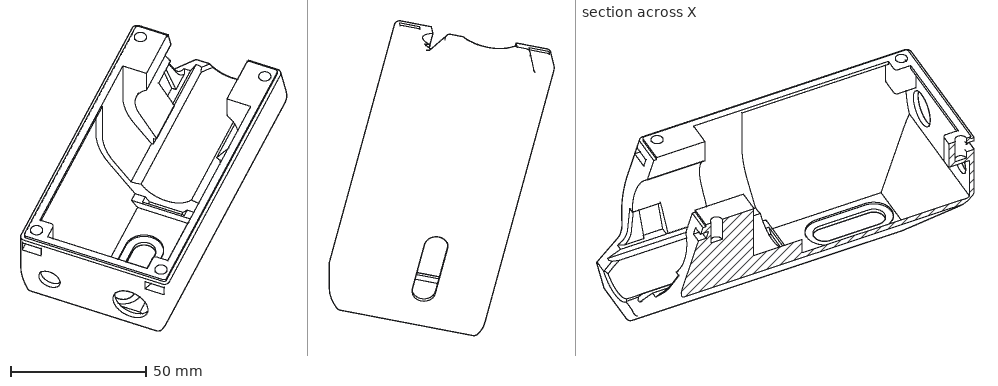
import cadquery as cq
import math

width = 59.4
length = 136.02
height = 51.1
lip_height = 1.0
lip_inset = 1.3
shell_top = height - lip_height
half_width = width / 2

keel_half_width = 10.0
bilge_radius = 25.0
bilge_height = 33.0
edge_radius = 2.0

stern_slope = 21.8
nose_height = 9.9
nose_corner_y = 122.8
nose_corner_z = 15.8
nose_corner_radius = 6.0
end_top_y = 112.0
lip_end_y = 110.8
lip_corner_radius = 1.0

tolerance = 0.01

thin_wall = 1.5
rear_wall = 2.0
thick_wall = 4.1
rim_thickness = 1.5
floor_z = 2.4
floor_start_y = 21.2
thick_start_y = 71.0
block_start_y = 90.9

slot_half_width = 16.1
passage_center_x = 9.7
passage_center_z = 32.5
passage_radius = 11.0
passage_foot_x = 12.0
passage_foot_z = 15.3

pocket_start_y = 108.1
pocket_step_y = 116.6
pocket_floor_z = 13.9
pocket_floor_x = 14.9
pocket_roof_x = 19.5
pocket_roof_z = 25.5
pocket_deepening = 1.7

bore_radius = 12.5
bore_z = 19.4
mouth_chamfer = 1.0
ridge_z = 12.0
ridge_half_width = math.sqrt(bore_radius ** 2 - (bore_z - ridge_z) ** 2)
shoulder_half_width = 12.3
shoulder_z = 11.5
groove_half_width = 13.4
groove_lip_z = 14.3

stop_start_y = 67.5
notch_start_y = 68.3
notch_half_width = 8.4
notch_depth = 2.1
stop_top_z = 5.4
stop_half_base = 15.0

screw_diameter = 4.5
screw_depth = 10.0
screw_x = 24.9
screw_ys = (5.5, 106.3)
pad_half_gap = 19.9
pad_end_y = 10.5
pad_height = 12.0
pad_corner_radius = 1.2

cable_slot_y = 39.3
cable_slot_width = 8.7
cable_slot_length = 29.0
cable_recess_margin = 2.9
cable_recess_depth = 0.8

large_port_z = 32.6
large_port_x = 14.95
large_port_diameter = 14.0
small_port_x = -17.5
small_port_z = 32.2
small_port_diameter = 8.5

latch_inner_x = 20.8
latch_outer_x = 28.4
latch_bottom_z = 44.2
latch_top_z = 48.3
far_latch_top_z = 47.0
latch_depth = 3.2
latch_taper = 1.1


def tangent_point(center_x, center_z, radius, foot_x, foot_z):
    """Point where a line rising from the foot touches the right of a circle."""
    span = math.hypot(center_x - foot_x, center_z - foot_z)
    bearing = math.atan2(center_z - foot_z, center_x - foot_x)
    reach = math.sqrt(span ** 2 - radius ** 2)
    angle = bearing - math.asin(radius / span)
    return foot_x + reach * math.cos(angle), foot_z + reach * math.sin(angle)


bilge_center_x = half_width - bilge_radius
bilge_x, bilge_z = tangent_point(bilge_center_x, bilge_height, bilge_radius, keel_half_width, 0)
side_angle = math.atan2(bilge_z, bilge_x - keel_half_width)
side_run = 1 / math.tan(side_angle)


def along_y(sketch, start_y, end_y):
    """Extrude an XZ sketch from start_y to end_y."""
    return sketch.extrude(-(end_y - start_y)).translate((0, start_y, 0))


def box(x0, x1, y0, y1, z0, z1):
    return cq.Workplane("XY").box(x1 - x0, y1 - y0, z1 - z0, centered=False).translate((x0, y0, z0))


def hull_section(wall, bottom_z, top_z):
    """Half hull section, inset by wall from the outside, mirrored about X = 0."""
    radius = bilge_radius - wall
    side_x = half_width - wall
    bottom_x = keel_half_width + bottom_z * side_run - wall / math.sin(side_angle)
    low_x = bilge_center_x + radius * math.sin(side_angle)
    low_z = bilge_height - radius * math.cos(side_angle)
    mid_angle = side_angle / 2 + math.pi / 4
    mid = (bilge_center_x + radius * math.sin(mid_angle), bilge_height - radius * math.cos(mid_angle))
    return (
        cq.Workplane("XZ").moveTo(0, bottom_z).lineTo(bottom_x, bottom_z).lineTo(low_x, low_z)
        .threePointArc(mid, (side_x, bilge_height)).lineTo(side_x, top_z).lineTo(0, top_z)
        .mirrorY()
    )


def side_outline():
    """Side outline of the hull, extruded across its width."""
    corner = (0, nose_corner_y, nose_corner_z)
    return (
        cq.Workplane("YZ")
        .polyline([
            (0, shell_top), (0, stern_slope), (stern_slope, 0), (length, 0), (length, nose_height),
            (nose_corner_y, nose_corner_z), (end_top_y, shell_top),
        ]).close().extrude(half_width, both=True)
        .edges(cq.NearestToPointSelector(corner)).fillet(nose_corner_radius)
    )


def make_hull():
    hull = along_y(hull_section(0, 0, shell_top), 0, length)
    hull = hull.intersect(side_outline())
    return hull.newObject(outer_edges(hull)).fillet(edge_radius)


def outer_edges(hull):
    """Edges to round: all but the top rim, the lengthwise side seams and the upper edges across the far end."""
    chosen = []
    for edge in hull.edges().vals():
        size = edge.BoundingBox()
        on_top = size.zmin > shell_top - tolerance
        on_bottom = size.zmax < tolerance
        side_seam = size.ylen > length / 2
        across_x = size.ylen + size.zlen < tolerance
        across_end = across_x and size.ymin > end_top_y
        if on_bottom or not (on_top or side_seam or across_end):
            chosen.append(edge)
    return chosen


def make_lip():
    lip = box(-half_width + lip_inset, half_width - lip_inset, lip_inset, lip_end_y, shell_top, height)
    return lip.edges("|Z").fillet(lip_corner_radius)


def make_chamber():
    """Main hollow with its sloping rear, leaving the stop block and the screw pads standing."""
    opening_half = half_width - thick_wall
    chamber = along_y(hull_section(thin_wall, floor_z, height - rim_thickness), rear_wall, thick_start_y)
    slope_sum = floor_start_y + floor_z
    stern = (
        cq.Workplane("YZ").polyline([(0, 0), (slope_sum, 0), (0, slope_sum)]).close()
        .extrude(half_width, both=True)
    )
    stop = box(-stop_half_base, stop_half_base, stop_start_y, thick_start_y, 0, stop_top_z)
    chamber = chamber.cut(stern).cut(stop)
    opening = box(-opening_half, opening_half, thick_wall, block_start_y, height - rim_thickness, height)
    chamber = chamber.union(opening)
    for side in (-1, 1):
        pad = box(pad_half_gap, half_width, 0, pad_end_y, height - pad_height, height)
        pad = pad.edges("|Z and <X and >Y").fillet(pad_corner_radius)
        chamber = chamber.cut(pad if side > 0 else pad.mirror("YZ"))
    return chamber


def passage_section():
    """Section of the tunnel over the tube: open slot, round sides, sloping flanks and undercut feet."""
    flank_x, flank_z = tangent_point(
        passage_center_x, passage_center_z, passage_radius, passage_foot_x, passage_foot_z
    )
    slot_z = passage_center_z + math.sqrt(passage_radius ** 2 - (slot_half_width - passage_center_x) ** 2)
    return (
        cq.Workplane("XZ").moveTo(0, shoulder_z).lineTo(groove_half_width, shoulder_z)
        .lineTo(groove_half_width, groove_lip_z).lineTo(passage_foot_x, passage_foot_z)
        .lineTo(flank_x, flank_z)
        .threePointArc((passage_center_x + passage_radius, passage_center_z), (slot_half_width, slot_z))
        .lineTo(slot_half_width, height).lineTo(0, height).mirrorY()
    )


def pocket_section(deepening):
    floor_x = pocket_floor_x + deepening
    roof_x = pocket_roof_x + deepening
    return cq.Workplane("XZ").polyline([
        (-floor_x, pocket_floor_z), (floor_x, pocket_floor_z),
        (roof_x, pocket_roof_z), (-roof_x, pocket_roof_z),
    ]).close()


def make_tube_space():
    """Room above the tube cradle: thick-walled chamber, tunnel, side pockets, bore and ridges."""
    space = along_y(hull_section(thick_wall, shoulder_z, height), thick_start_y, block_start_y)
    space = space.union(along_y(passage_section(), block_start_y, length))
    space = space.union(along_y(pocket_section(pocket_deepening), pocket_start_y, pocket_step_y))
    space = space.union(along_y(pocket_section(0), pocket_step_y, length))
    ridges = cq.Workplane("XZ").polyline([
        (-shoulder_half_width, shoulder_z), (-ridge_half_width, ridge_z),
        (ridge_half_width, ridge_z), (shoulder_half_width, shoulder_z),
    ]).close()
    space = space.cut(along_y(ridges, thick_start_y, length))
    bore = along_y(cq.Workplane("XZ").center(0, bore_z).circle(bore_radius), thick_start_y, length)
    below_ridges = box(-groove_half_width, groove_half_width, thick_start_y, length, 0, ridge_z)
    return space.union(bore.intersect(below_ridges))


def make_stop_notch():
    foot_half = notch_half_width - notch_depth * side_run
    notch = cq.Workplane("XZ").polyline([
        (-notch_half_width, stop_top_z), (-foot_half, stop_top_z - notch_depth),
        (foot_half, stop_top_z - notch_depth), (notch_half_width, stop_top_z),
    ]).close()
    return along_y(notch, notch_start_y, thick_start_y)


def make_screw_holes():
    points = [(side * screw_x, y) for side in (-1, 1) for y in screw_ys]
    return (
        cq.Workplane("XY", origin=(0, 0, height)).pushPoints(points)
        .circle(screw_diameter / 2).extrude(-screw_depth)
    )


def make_cable_slot():
    """Slot through the floor with a shallow recess around it."""
    slot = cq.Workplane("XY").center(0, cable_slot_y).slot2D(cable_slot_length, cable_slot_width, 90)
    recess = (
        cq.Workplane("XY", origin=(0, 0, floor_z - cable_recess_depth)).center(0, cable_slot_y)
        .slot2D(cable_slot_length + 2 * cable_recess_margin, cable_slot_width + 2 * cable_recess_margin, 90)
    )
    return slot.extrude(floor_z).union(recess.extrude(cable_recess_depth))


def make_port(x, z, diameter):
    port = cq.Workplane("XZ").center(x, z).circle(diameter / 2)
    return along_y(port, 0, pad_end_y)


def make_latches():
    """Catch recesses in the rear wall, tapered at their inner ends, and in the leaning end."""
    lean = (nose_corner_y - end_top_y) / (shell_top - nose_corner_z)
    recesses = cq.Workplane("XY")
    for side in (-1, 1):
        rear = cq.Workplane("XY", origin=(0, 0, latch_bottom_z)).polyline([
            (side * latch_outer_x, 0), (side * latch_inner_x, 0),
            (side * (latch_inner_x + latch_taper), latch_depth), (side * latch_outer_x, latch_depth),
        ]).close().extrude(latch_top_z - latch_bottom_z)
        bottom_y = end_top_y + lean * (shell_top - latch_bottom_z)
        top_y = end_top_y + lean * (shell_top - far_latch_top_z)
        far = cq.Workplane("YZ", origin=(side * latch_inner_x, 0, 0)).polyline([
            (bottom_y, latch_bottom_z), (bottom_y, far_latch_top_z),
            (top_y - latch_depth, far_latch_top_z), (bottom_y - latch_depth, latch_bottom_z),
        ]).close().extrude(side * (latch_outer_x - latch_inner_x))
        recesses = recesses.add(rear).add(far)
    return recesses


def mouth_edges(part):
    """Edges round the open end of the bore, and the flank edges where the pockets leave the leaning end."""
    bore_zone = cq.selectors.BoxSelector(
        (-ridge_half_width, nose_corner_y, bore_z - bore_radius), (ridge_half_width, length + 1, ridge_z)
    )
    edges = part.edges(bore_zone).vals()
    for side in (-1, 1):
        flank_zone = cq.selectors.BoxSelector(
            (side * pocket_floor_x, pocket_step_y + 1, nose_corner_z),
            (side * pocket_roof_x, nose_corner_y, pocket_roof_z - 1),
        )
        edges += part.edges(flank_zone).vals()
    return edges


result = make_hull().union(make_lip())
result = result.cut(make_chamber()).cut(make_tube_space()).cut(make_stop_notch())
result = result.cut(make_screw_holes()).cut(make_cable_slot())
result = result.cut(make_port(large_port_x, large_port_z, large_port_diameter))
result = result.cut(make_port(small_port_x, small_port_z, small_port_diameter))
for recess in make_latches().vals():
    result = result.cut(cq.Workplane(recess))
result = result.newObject(mouth_edges(result)).chamfer(mouth_chamfer)